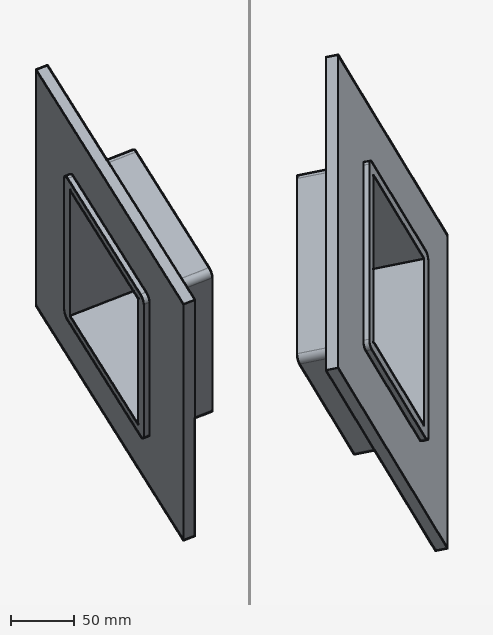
import cadquery as cq

opening_width = 120.5
opening_height = 159.5

wall = 10.0
sleeve_length = 60.0
corner_radius = 6.0
sleeve_width = opening_width + 2 * wall
sleeve_height = opening_height + 2 * wall

flange_margin = 60.0
flange_thickness = 10.0
front_projection = 5.0
flange_width = sleeve_width + 2 * flange_margin
flange_height = sleeve_height + 2 * flange_margin


def block(width, length, height, front_y):
    """Box centred on X and Z that runs toward +Y from front_y."""
    box = cq.Workplane("XY").box(width, length, height, centered=(True, False, True))
    return box.translate((0, front_y, 0))


sleeve = block(sleeve_width, sleeve_length, sleeve_height, 0).edges("|Y").fillet(corner_radius)
flange = block(flange_width, flange_thickness, flange_height, front_projection)
opening = block(opening_width, sleeve_length, opening_height, 0)

result = flange.union(sleeve).cut(opening)